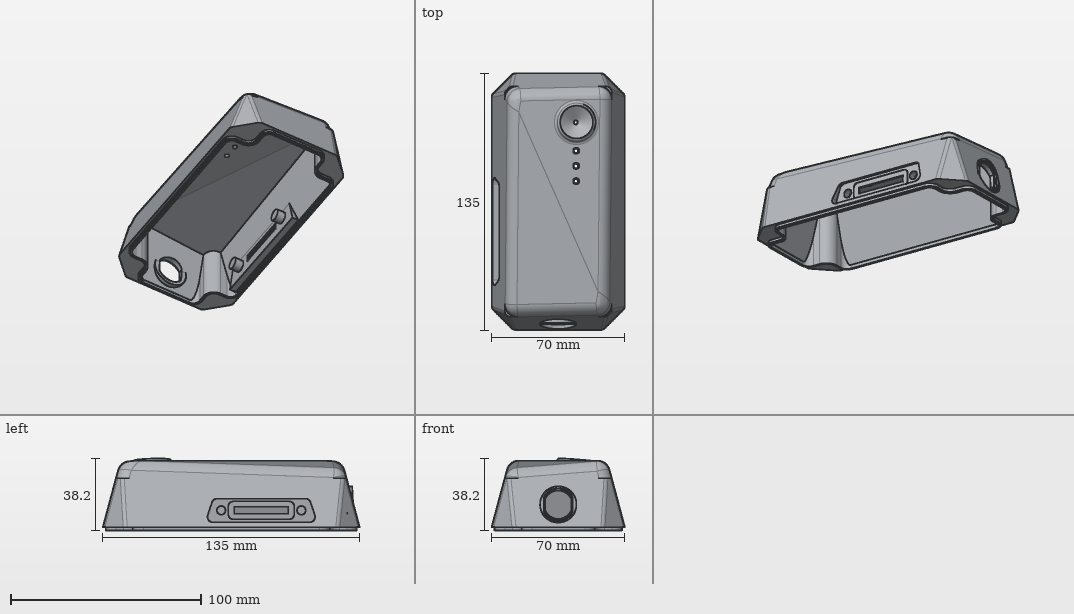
import cadquery as cq
import math

width = 70.0
length = 135.0
rim_height = 2.0
ridge_height = 35.0
draft = 15.0
roof_drop = 4.0
roof_radius = 7.0
corner_cut = 11.5
corner_radius = 3.0
corner_top = 25.6
wall = 3.0

rim_inset = 1.5
rim_thickness = 1.5
rim_edge_chamfer = 0.4
notch_outer_radius = 5.4
notch_inner_radius = 5.0
notch_flat = 3.9

button_x = 9.5
button_y = 41.7
button_radius = 10.1
button_foot_radius = 1.5
button_rim_round = 1.1
button_height = button_foot_radius + button_rim_round
dish_radius = 8.6
dish_depth = 4.3
dish_hole_diameter = 2.0
indicator_y = 26.7
indicator_pitch = 8.0
indicator_count = 3
indicator_diameter = 2.4
indicator_bore_diameter = 3.2
indicator_bore_depth = 0.7

socket_height = 11.9
socket_radius = 9.6
socket_face_y = -64.1
socket_tilt = 3.0
socket_depth = 3.4
socket_step_radius = 8.5
socket_step_flat = 7.5
socket_step_depth = 1.1
socket_bore_radius = 7.5
socket_bore_flat = 6.8

pocket_y = -15.8
pocket_bottom = 2.4
pocket_top = 15.0
pocket_half_bottom = 29.4
pocket_half_top = 25.2
pocket_radius = 3.0
pocket_floor_x = -29.5
pocket_plate = 1.4
pocket_backing_margin = 2.0
connector_height = 8.8
connector_size = (34.5, 9.3)
connector_radius = 2.4
connector_depth = 0.3
slot_size = (28.4, 3.5)
screw_spacing = 42.1
screw_diameter = 4.6
screw_depth = 4.7
screw_boss_diameter = 6.5
screw_boss_depth = 6.1

slope = math.tan(math.radians(draft))
ridge_x = width / 2 - ridge_height * slope
ridge_y = length / 2 - ridge_height * slope
ridge_half = math.hypot(ridge_x, ridge_y)
roof_run = 2 * ridge_x * ridge_y / ridge_half
roof_angle = math.degrees(math.atan(roof_drop / roof_run))
ridge_heading = math.degrees(math.atan2(-ridge_y, ridge_x))
OVERSIZE = 2 * length


def drafted_box(inset, ridge):
    """Four drafted walls under two roof planes that meet on the diagonal ridge."""
    foot = cq.Workplane().rect(width - 2 * inset, length - 2 * inset)
    body = foot.extrude(ridge_height + wall, taper=draft)
    for side in (1, -1):
        above = cq.Workplane().box(OVERSIZE, OVERSIZE, OVERSIZE, centered=(True, True, False))
        above = above.rotate((0, 0, 0), (1, 0, 0), side * roof_angle)
        above = above.rotate((0, 0, 0), (0, 0, 1), ridge_heading)
        body = body.cut(above.translate((0, 0, ridge)))
    return body


def octagon(height):
    """Outline of the chamfered walls; each chamfer shrinks to nothing at its own roof corner."""
    x = width / 2 - height * slope
    y = length / 2 - height * slope
    low = corner_cut * (1 - height / (ridge_height - roof_drop))
    high = corner_cut * (1 - height / ridge_height)
    corners = [
        (x, y - low), (x - low, y), (high - x, y), (-x, y - high),
        (-x, low - y), (low - x, -y), (x - high, -y), (x, high - y),
    ]
    return cq.Wire.makePolygon([cq.Vector(px, py, height) for px, py in corners], close=True)


def outer_body():
    """Chamfered walls up to corner_top, then the same box with every edge rounded."""
    lower = cq.Workplane(obj=cq.Solid.makeLoft([octagon(0), octagon(corner_top)], True))
    lower = lower.edges("not #Z").fillet(corner_radius)

    upper = drafted_box(0, ridge_height)
    ridge_edge = upper.edges(cq.selectors.NearestToPointSelector((0, 0, ridge_height))).val()
    rounded = [edge for edge in upper.edges("not <Z").vals() if not edge.isSame(ridge_edge)]
    upper = upper.newObject(rounded).fillet(roof_radius)
    below = cq.Workplane().box(OVERSIZE, OVERSIZE, 2 * corner_top)
    return lower.union(upper.cut(below))


def rim_prism(inset):
    """Rim plan drawn in by an inset, tall enough to pass right through the enclosure.

    At each corner post a convex arc turns inwards, a concave arc wraps the post
    and a second convex arc returns to the neighbouring side.
    """
    x = width / 2 - rim_inset - inset
    y = length / 2 - rim_inset - inset
    convex = notch_outer_radius - inset
    concave = notch_inner_radius + inset
    post_x = width / 2 - rim_inset - notch_outer_radius - notch_flat
    post_y = length / 2 - rim_inset - notch_outer_radius - notch_flat

    notch_x = x - post_x + concave
    notch_y = y - post_y + concave
    prism = cq.Workplane().box(2 * x, 2 * y, OVERSIZE)
    for side_x in (1, -1):
        for side_y in (1, -1):
            notch = cq.Workplane().box(2 * notch_x, 2 * notch_y, OVERSIZE).edges("|Z").fillet(concave)
            prism = prism.cut(notch.translate((side_x * x, side_y * y, 0)))
    on_x_sides = prism.faces("<X or >X").edges("|Z")
    on_y_sides = prism.faces("<Y or >Y").edges("|Z")
    return on_x_sides.add(on_y_sides).fillet(convex)


def roof_plane(x, y):
    """Plane on the +X +Y roof half at plan point (x, y), facing straight out of the roof."""
    across_x = ridge_y / ridge_half
    across_y = ridge_x / ridge_half
    height = ridge_height - (x * across_x + y * across_y) * roof_drop / roof_run
    lean = math.sin(math.radians(roof_angle))
    normal = (across_x * lean, across_y * lean, math.cos(math.radians(roof_angle)))
    return cq.Plane(origin=(x, y, height), xDir=(across_y, -across_x, 0), normal=normal)


def socket_plane():
    """Plane of the socket's outer face, leaning back from the -Y direction."""
    lean = math.radians(socket_tilt)
    return cq.Plane(
        origin=(0, socket_face_y, socket_height), xDir=(1, 0, 0), normal=(0, -math.cos(lean), math.sin(lean))
    )


def pocket_plane(height):
    """Plane on the pocket floor, facing out of the -X wall."""
    return cq.Plane(origin=(pocket_floor_x, pocket_y, height), xDir=(0, -1, 0), normal=(-1, 0, 0))


def button():
    """Round button with a concave foot and a rounded rim."""
    arc_middle = 1 - math.sqrt(0.5)
    foot = button_foot_radius
    rim = button_rim_round
    profile = (
        cq.Workplane("XZ")
        .moveTo(0, -wall / 2)
        .lineTo(button_radius + foot, -wall / 2)
        .lineTo(button_radius + foot, 0)
        .threePointArc((button_radius + foot * arc_middle, foot * arc_middle), (button_radius, foot))
        .threePointArc(
            (button_radius - rim * arc_middle, button_height - rim * arc_middle),
            (button_radius - rim, button_height),
        )
        .lineTo(0, button_height)
        .close()
    )
    solid = profile.revolve(360, (0, 0, 0), (0, 1, 0))
    return solid.val().moved(cq.Location(roof_plane(button_x, button_y)))


def button_dish():
    """Conical dish in the button with a small hole through its tip."""
    hole = dish_hole_diameter / 2
    floor = button_height - dish_depth
    profile = (
        cq.Workplane("XZ")
        .moveTo(0, 2 * button_height)
        .lineTo(dish_radius, 2 * button_height)
        .lineTo(dish_radius, button_height)
        .lineTo(hole, floor)
        .lineTo(hole, floor - 2 * wall)
        .lineTo(0, floor - 2 * wall)
        .close()
    )
    solid = profile.revolve(360, (0, 0, 0), (0, 1, 0))
    return solid.val().moved(cq.Location(roof_plane(button_x, button_y)))


def indicator_hole(index):
    """Counterbored hole, counted from the one nearest the button."""
    roof = cq.Workplane(roof_plane(button_x, indicator_y - index * indicator_pitch))
    hole = roof.circle(indicator_diameter / 2).extrude(-2 * wall)
    return hole.union(roof.circle(indicator_bore_diameter / 2).extrude(-indicator_bore_depth))


def flatted_disc(depth, radius, half_flat):
    """Disc with two flats, running inwards from the socket face."""
    section = cq.Workplane(socket_plane())
    disc = section.circle(radius).extrude(-depth)
    return disc.intersect(section.rect(2 * half_flat, 2 * radius).extrude(-depth))


def pocket_outline(margin, start):
    """Trapezoid pocket outline, widened by a margin, at a distance out from the pocket floor."""
    bottom = pocket_bottom - margin
    return (
        cq.Workplane(pocket_plane(0))
        .workplane(offset=start)
        .moveTo(-pocket_half_bottom - margin, bottom)
        .lineTo(pocket_half_bottom + margin, bottom)
        .lineTo(pocket_half_top + margin, pocket_top + margin)
        .lineTo(-pocket_half_top - margin, pocket_top + margin)
        .close()
    )


outer = outer_body()
wall_inset = wall / math.cos(math.radians(draft))
cavity = drafted_box(wall_inset, ridge_height - wall).intersect(rim_prism(rim_thickness))
shell = outer.cut(cavity)

rim_band = cq.Workplane().box(OVERSIZE, OVERSIZE, rim_height, centered=(True, True, False))
rim_band = rim_band.translate((0, 0, -rim_height))
rim = rim_prism(0).intersect(rim_band).faces("<Z").chamfer(rim_edge_chamfer)
shell = shell.union(rim.cut(rim_prism(rim_thickness)))

reach = width / 4
plate = pocket_outline(pocket_backing_margin, -pocket_plate).extrude(reach).intersect(outer)
pocket = pocket_outline(0, 0).extrude(reach).edges("|X").fillet(pocket_radius)
connector = cq.Workplane(pocket_plane(connector_height))
seat = connector.rect(*connector_size).extrude(-connector_depth).edges("|X").fillet(connector_radius)
slot = connector.rect(*slot_size).extrude(-reach)
screw_places = [(-screw_spacing / 2, 0), (screw_spacing / 2, 0)]
screw_bosses = connector.pushPoints(screw_places).circle(screw_boss_diameter / 2).extrude(-screw_boss_depth)
screw_holes = connector.pushPoints(screw_places).circle(screw_diameter / 2).extrude(-screw_depth)
shell = shell.union(plate).union(screw_bosses)
shell = shell.cut(pocket).cut(seat).cut(slot).cut(screw_holes)

socket_face = cq.Workplane(socket_plane())
shell = shell.cut(socket_face.circle(socket_radius).extrude(socket_radius))
shell = shell.union(socket_face.circle(socket_radius).extrude(-socket_depth))
shell = shell.cut(flatted_disc(socket_step_depth, socket_step_radius, socket_step_flat))
shell = shell.cut(flatted_disc(2 * socket_depth, socket_bore_radius, socket_bore_flat))

shell = shell.union(button())
shell = shell.cut(button_dish())
for index in range(indicator_count):
    shell = shell.cut(indicator_hole(index))

result = shell